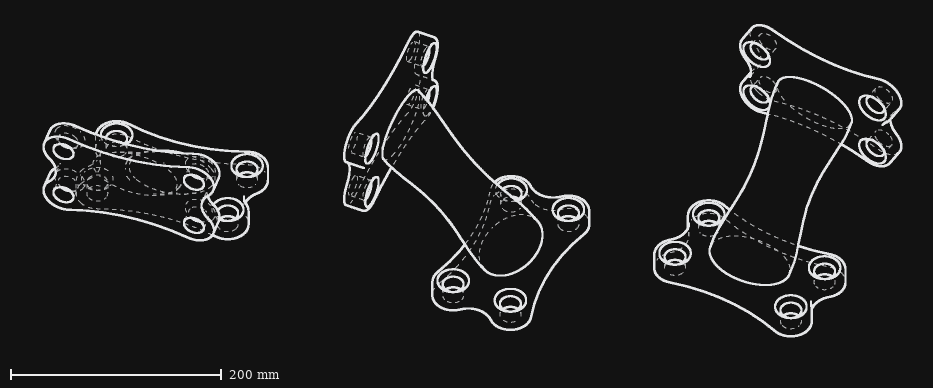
import cadquery as cq
import math

overall_size = 185.0
flange_thickness = 20.0
hole_spacing_x = 130.0
hole_spacing_y = 60.0
corner_radius = 20.0
long_side_radius = 200.0
short_side_radius = 22.5
edge_fillet = 3.0

hole_diameter = 20.0
countersink_diameter = 30.0
countersink_angle = 90.0

stem_end_half_width = 42.0
stem_waist_half_width = 32.2
stem_end_half_depth = 26.8
stem_section_count = 5

corner_x = hole_spacing_x / 2
corner_y = hole_spacing_y / 2
flange_half_depth = corner_y + corner_radius
flange_offset = overall_size - flange_half_depth
stem_travel = flange_offset - flange_thickness


def flange_outline():
    """Four convex corners joined by tangent concave arcs."""
    long_reach = long_side_radius + corner_radius
    short_reach = short_side_radius + corner_radius
    long_center_y = corner_y + math.sqrt(long_reach**2 - corner_x**2)
    short_center_x = corner_x + math.sqrt(short_reach**2 - corner_y**2)
    waist_y = long_center_y - long_side_radius
    waist_x = short_center_x - short_side_radius

    long_tangent_x = corner_x - corner_x * corner_radius / long_reach
    long_tangent_y = corner_y + (long_center_y - corner_y) * corner_radius / long_reach
    short_tangent_x = corner_x + (short_center_x - corner_x) * corner_radius / short_reach
    short_tangent_y = corner_y - corner_y * corner_radius / short_reach
    corner_mid_x = corner_x + corner_radius * math.sqrt(0.5)
    corner_mid_y = corner_y + corner_radius * math.sqrt(0.5)

    return (
        cq.Workplane("XY")
        .moveTo(-long_tangent_x, long_tangent_y)
        .threePointArc((0, waist_y), (long_tangent_x, long_tangent_y))
        .threePointArc((corner_mid_x, corner_mid_y), (short_tangent_x, short_tangent_y))
        .threePointArc((waist_x, 0), (short_tangent_x, -short_tangent_y))
        .threePointArc((corner_mid_x, -corner_mid_y), (long_tangent_x, -long_tangent_y))
        .threePointArc((0, -waist_y), (-long_tangent_x, -long_tangent_y))
        .threePointArc((-corner_mid_x, -corner_mid_y), (-short_tangent_x, -short_tangent_y))
        .threePointArc((-waist_x, 0), (-short_tangent_x, short_tangent_y))
        .threePointArc((-corner_mid_x, corner_mid_y), (-long_tangent_x, long_tangent_y))
        .close()
    )


def make_flange():
    """Flat flange on Z = 0, with its rounded and countersunk face upwards."""
    return (
        flange_outline()
        .extrude(flange_thickness)
        .faces(">Z")
        .edges()
        .fillet(edge_fillet)
        .faces(">Z")
        .workplane(origin=(0, 0, flange_thickness))
        .rarray(hole_spacing_x, hole_spacing_y, 2, 2)
        .cskHole(hole_diameter, countersink_diameter, countersink_angle)
    )


def stem_section(fraction):
    """Ellipse at a fraction of the stem length, turning from level to upright."""
    tilt = math.radians(90 * fraction)
    plane = cq.Plane(
        origin=(0, -stem_travel * fraction, flange_thickness + stem_travel * fraction),
        xDir=(1, 0, 0),
        normal=(0, -math.sin(tilt), math.cos(tilt)),
    )
    end_share = (1 + math.cos(2 * math.pi * fraction)) / 2
    half_width = stem_waist_half_width + (stem_end_half_width - stem_waist_half_width) * end_share
    half_depth = stem_end_half_depth * math.sqrt(0.5) / math.cos(tilt - math.pi / 4)
    return cq.Workplane(plane).ellipse(half_width, half_depth).wire().val()


def make_stem():
    last = stem_section_count - 1
    sections = [stem_section(i / last) for i in range(stem_section_count)]
    return cq.Workplane(cq.Solid.makeLoft(sections))


base_flange = make_flange()
upright_flange = (
    make_flange()
    .rotate((0, 0, 0), (1, 0, 0), -90)
    .translate((0, -flange_offset, flange_offset))
)

result = base_flange.union(upright_flange).union(make_stem())